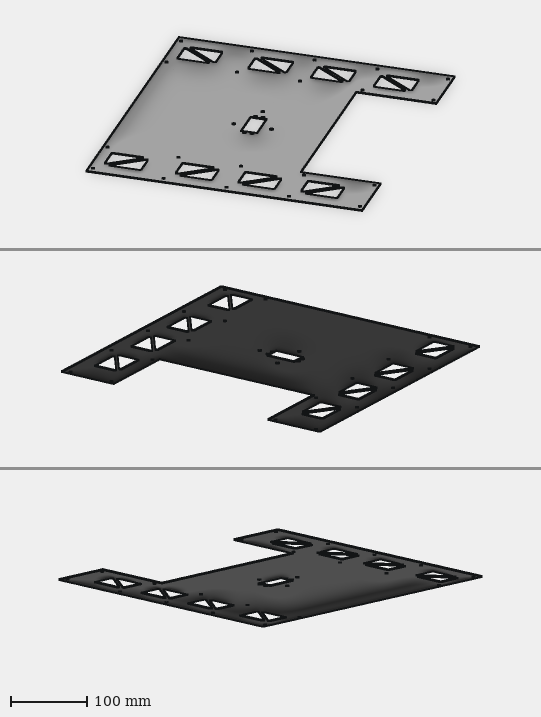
import cadquery as cq
import math

plate_length = 380.0
plate_width = 406.0
plate_thickness = 1.5
arm_width = 81.0
notch_floor_x = 80.0

rim_hole_diameter = 3.2
end_column_x = 184.0
inner_column_x = 86.5
rim_columns = (-end_column_x, -inner_column_x, 0.0, inner_column_x, end_column_x)
outer_row_y = 193.3
inner_row_y = 129.0

window_length = 51.5
window_height = 37.0
window_start_offset = 10.0
window_offset_x = window_start_offset + window_length / 2
window_corner_radius = 2.0
strap_width = 4.0
window_row_y = (outer_row_y + inner_row_y) / 2

servo_x = -20.0
servo_y = -10.0
servo_length_x = 22.0
servo_length_y = 42.2
servo_hole_diameter = 4.5
servo_hole_spacing_x = 10.0
servo_hole_spacing_y = 48.0

mount_hole_diameter = 4.0
mount_circle_radius = 30.0
mount_hole_count = 3


def through_cutter(sketch):
    """Extrude a sketch drawn on the XY plane through the plate."""
    return sketch.extrude(plate_thickness)


def make_plate():
    notch_depth = plate_length / 2 - notch_floor_x
    notch_width = plate_width - 2 * arm_width
    plate = through_cutter(cq.Workplane("XY").rect(plate_length, plate_width))
    notch = through_cutter(
        cq.Workplane("XY").center(notch_floor_x + notch_depth / 2, 0).rect(notch_depth, notch_width)
    )
    return plate.cut(notch)


def round_holes(centers, diameter):
    return through_cutter(cq.Workplane("XY").pushPoints(centers).circle(diameter / 2))


def window_half():
    """Triangle below the strap of a window centred on the origin; the strap falls toward +X."""
    half_length = window_length / 2
    half_height = window_height / 2
    diagonal = math.hypot(window_length, window_height)
    side_loss_x = strap_width / 2 * diagonal / window_height
    side_loss_y = strap_width / 2 * diagonal / window_length
    triangle = cq.Workplane("XY").polyline([
        (-half_length, -half_height),
        (half_length - side_loss_x, -half_height),
        (-half_length, half_height - side_loss_y),
    ]).close()
    return through_cutter(triangle).edges("|Z").fillet(window_corner_radius)


def make_windows():
    """Both rows of windows, mirrored about the X axis."""
    half = window_half()
    window = half.union(half.rotate((0, 0, 0), (0, 0, 1), 180))
    windows = cq.Workplane("XY")
    for column_x in rim_columns[:-1]:
        upper_window = window.translate((column_x + window_offset_x, window_row_y, 0))
        windows = windows.add(upper_window).add(upper_window.mirror("XZ"))
    return windows.combine()


def make_servo_opening():
    opening = through_cutter(
        cq.Workplane("XY").center(servo_x, servo_y).rect(servo_length_x, servo_length_y)
    )
    screw_centers = [
        (servo_x + side_x * servo_hole_spacing_x / 2, servo_y + side_y * servo_hole_spacing_y / 2)
        for side_x in (-1, 1)
        for side_y in (-1, 1)
    ]
    return opening.union(round_holes(screw_centers, servo_hole_diameter))


def make_mount_holes():
    """Evenly spaced holes, the first one straight toward +Y."""
    centers = []
    for index in range(mount_hole_count):
        angle = math.pi / 2 + index * 2 * math.pi / mount_hole_count
        hole_x = servo_x + mount_circle_radius * math.cos(angle)
        hole_y = mount_circle_radius * math.sin(angle)
        centers.append((hole_x, hole_y))
    return round_holes(centers, mount_hole_diameter)


rim_rows = (-outer_row_y, -inner_row_y, inner_row_y, outer_row_y)
rim_centers = [(column_x, row_y) for column_x in rim_columns for row_y in rim_rows]

result = (
    make_plate()
    .cut(round_holes(rim_centers, rim_hole_diameter))
    .cut(make_windows())
    .cut(make_servo_opening())
    .cut(make_mount_holes())
)